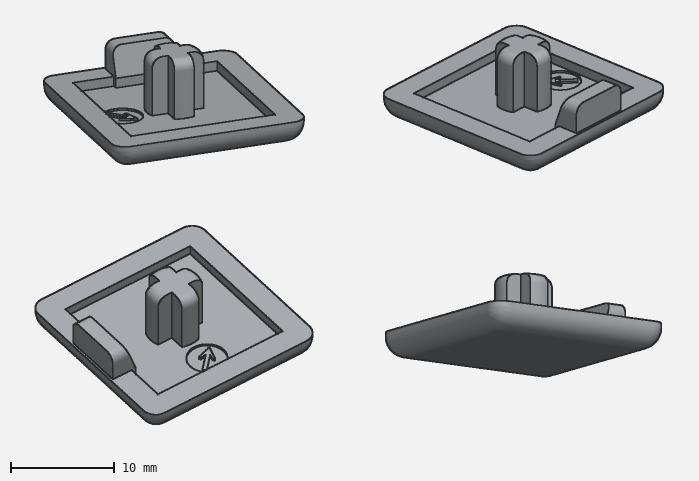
import cadquery as cq

plate_side = 20.0
plate_height = 2.5
plate_corner_radius = 1.5
bottom_edge_radius = 2.0
rim_width = 2.5
pocket_depth = 1.0
pocket_side = plate_side - 2 * rim_width
floor_z = plate_height - pocket_depth

post_diameter = 5.7
post_arm_width = 2.05
post_top_z = 7.5
post_edge_radius = 1.0

tab_outer_x = -9.75
tab_top_inner_x = -8.05
tab_foot_inner_x = -7.0
tab_height = 3.0
tab_width = 6.45
tab_corner_radius = 1.0

dial_diameter = 4.0
dial_center_y = -5.35
dial_depth = 0.2
arrow_angle = 45.0
arrow_tip = 1.62
arrow_tail = -1.68
arrow_shaft_half_width = 0.22
barb_outer_half_span = 0.82
barb_inner_half_span = 0.6
barb_inner_setback = 0.08
barb_root = 0.48


def make_plate():
    """Rounded square plate with a rounded underside and a square pocket in its top."""
    plate = (
        cq.Workplane("XY")
        .rect(plate_side, plate_side)
        .extrude(plate_height)
        .edges("|Z")
        .fillet(plate_corner_radius)
        .faces("<Z")
        .edges()
        .fillet(bottom_edge_radius)
    )
    pocket = cq.Workplane("XY", origin=(0, 0, floor_z)).rect(pocket_side, pocket_side).extrude(pocket_depth)
    return plate.cut(pocket)


def make_post():
    """Round post with a rounded top edge, trimmed to a cross."""
    post_height = post_top_z - floor_z
    base = cq.Workplane("XY", origin=(0, 0, floor_z))
    column = base.circle(post_diameter / 2).extrude(post_height).faces(">Z").edges().fillet(post_edge_radius)
    cross = base.rect(post_diameter, post_arm_width).extrude(post_height)
    cross = cross.union(base.rect(post_arm_width, post_diameter).extrude(post_height))
    return column.intersect(cross)


def make_tab():
    """Tab with a sloped inner face that runs down to the pocket floor."""
    tab_top_z = plate_height + tab_height
    profile = [
        (tab_outer_x, floor_z),
        (tab_outer_x, tab_top_z),
        (tab_top_inner_x, tab_top_z),
        (tab_foot_inner_x, plate_height),
        (tab_foot_inner_x, floor_z),
    ]
    tab = cq.Workplane("XZ").polyline(profile).close().extrude(tab_width / 2, both=True)
    return tab.faces(">Z").edges("|X").fillet(tab_corner_radius)


def make_dial_recess():
    """Volume to remove from the floor: a shallow disc less the arrow."""
    dial = cq.Workplane("XY", origin=(0, dial_center_y, floor_z - dial_depth))
    upper_side = [
        (arrow_tail, arrow_shaft_half_width),
        (barb_root, arrow_shaft_half_width),
        (-barb_inner_setback, barb_inner_half_span),
        (0, barb_outer_half_span),
    ]
    lower_side = [(x, -y) for x, y in reversed(upper_side)]
    outline = upper_side + [(arrow_tip, 0)] + lower_side
    arrow = dial.transformed(rotate=(0, 0, arrow_angle)).polyline(outline).close().extrude(dial_depth)
    return dial.circle(dial_diameter / 2).extrude(dial_depth).cut(arrow)


result = make_plate().union(make_post()).union(make_tab()).cut(make_dial_recess())